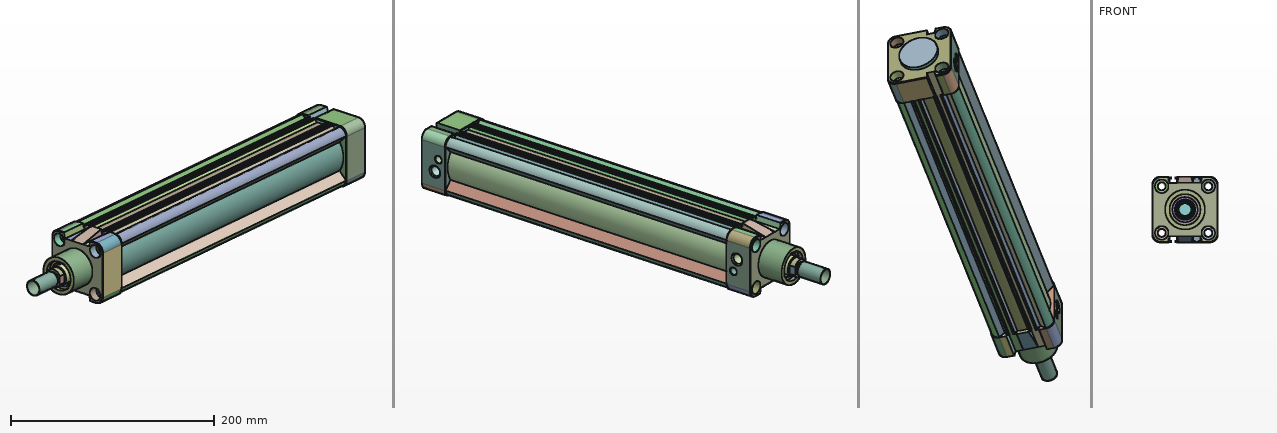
import cadquery as cq
import math

LENGTH = 478.0
WIDTH = 65.0
HALF = WIDTH / 2
CORNER_RADIUS = 8.5
FLAT_END = HALF - CORNER_RADIUS

GLAND_FRONT = 39.0
CAP_FRONT = 68.0
CAP_LENGTH = 29.5
BARREL_START = CAP_FRONT + CAP_LENGTH
REAR_BOSS_LENGTH = 4.0
CAP_REAR = LENGTH - REAR_BOSS_LENGTH
BARREL_END = CAP_REAR - CAP_LENGTH

TUBE_RADIUS = 28.5
BARREL_HALF = 32.0
BARREL_CORNER_RADIUS = 9.5
SIDE_HOLLOW_HALF = 15.5
SIDE_HOLLOW_DEPTH = 8.0
RIB_FOOT_INNER = 5.3
RIB_TOP_INNER = 7.5
RIB_TOP_OUTER = 15.0
VALLEY_X = 18.0
VALLEY_HEIGHT = 27.2

SLOT_X = 11.5
SLOT_NECK_WIDTH = 4.0
SLOT_WIDTH = 7.0
SLOT_FLOOR = 26.5
SLOT_LIP = 30.5

CAP_CHAMFER = 0.7
GROOVE_FLOOR_HALF = 15.5
GROOVE_TOP_HALF = 16.5
RAMP_FOOT_HALF = 7.5
RAMP_TOP_HALF = 6.0
REAR_GROOVE_INNER = 7.5

GLAND_RADIUS = 19.5
RECESS_RADIUS = 15.5
RECESS_DEPTH = 5.0
SEAL_BORE_RADIUS = 12.5
SEAL_BORE_DEPTH = 12.0

BOLT_OFFSET = 23.0
BOLT_RADIUS = 4.0
BOLT_HEAD_RADIUS = 6.5
BOLT_HEAD_DEPTH = 9.5

PORT_RADIUS = 5.3
PORT_CHAMFER = 1.5
PORT_FROM_END = 16.5
PORT_Z = 6.5
SCREW_RADIUS = 4.0
SCREW_CHAMFER = 0.5
SCREW_FROM_BARREL = 8.5
SCREW_Z = 7.5
CUSHION_RADIUS = 13.0
CUSHION_DEPTH = 21.5

ROD_RADIUS = 10.0
ROD_ACROSS_FLATS = 16.5
COLLAR_RADIUS = 9.5
SHOULDER_Y = 38.0
SHOULDER_LENGTH = 1.0
TIP_RADIUS = 8.0
TIP_LENGTH = 28.0
NECK_RADIUS = 6.5
NECK_LENGTH = 3.0
TIP_BORE_MOUTH_RADIUS = 7.5
TIP_BORE_FLOOR_RADIUS = 6.0
TIP_BORE_DEPTH = 24.0
ROD_END = BARREL_START


def section(y):
    """Sketch plane across the cylinder at y: local x is X, local y is Z, negative extrusion is +Y."""
    return cq.Workplane(cq.Plane(origin=(0, y, 0), xDir=(1, 0, 0), normal=(0, -1, 0)))


def cylinder(radius, start, end):
    return section(start).circle(radius).extrude(start - end)


def rounded_bar(start, end):
    bar = section(start).rect(WIDTH, WIDTH).extrude(start - end)
    return bar.edges("|Y").fillet(CORNER_RADIUS)


def block(x0, x1, y0, y1, z0, z1):
    return cq.Workplane("XY").box(x1 - x0, y1 - y0, z1 - z0, centered=False).translate((x0, y0, z0))


def with_mirror(shape, plane):
    return shape.union(shape.mirror(plane))


def side_hollow():
    """Hollow along the -X side, whose floor is the round wall of the tube."""
    valley_x = -BARREL_HALF + SIDE_HOLLOW_DEPTH
    return (
        section(BARREL_START)
        .moveTo(-BARREL_HALF, FLAT_END)
        .lineTo(valley_x, SIDE_HOLLOW_HALF)
        .threePointArc((-TUBE_RADIUS, 0), (valley_x, -SIDE_HOLLOW_HALF))
        .lineTo(-BARREL_HALF, -FLAT_END)
        .close()
        .extrude(BARREL_START - BARREL_END)
    )


def top_hollows():
    """Centre groove and the two outer valleys that leave the ribs standing on the top."""
    depth = BARREL_START - BARREL_END
    foot_height = math.sqrt(TUBE_RADIUS**2 - RIB_FOOT_INNER**2)
    centre = (
        section(BARREL_START)
        .moveTo(-RIB_TOP_INNER, BARREL_HALF)
        .lineTo(-RIB_FOOT_INNER, foot_height)
        .threePointArc((0, TUBE_RADIUS), (RIB_FOOT_INNER, foot_height))
        .lineTo(RIB_TOP_INNER, BARREL_HALF)
        .close()
        .extrude(depth)
    )
    valley = (
        section(BARREL_START)
        .moveTo(RIB_TOP_OUTER, BARREL_HALF)
        .lineTo(VALLEY_X, VALLEY_HEIGHT)
        .lineTo(FLAT_END, BARREL_HALF)
        .close()
        .extrude(depth)
    )
    return centre.union(with_mirror(valley, "YZ"))


def t_slots():
    """The T-slots along both top ribs."""
    half_neck = SLOT_NECK_WIDTH / 2
    half_slot = SLOT_WIDTH / 2
    neck = block(SLOT_X - half_neck, SLOT_X + half_neck, BARREL_START, BARREL_END, SLOT_FLOOR, HALF)
    foot = block(SLOT_X - half_slot, SLOT_X + half_slot, BARREL_START, BARREL_END, SLOT_FLOOR, SLOT_LIP)
    return with_mirror(neck.union(foot), "YZ")


def barrel_blank():
    """Square bar whose corners are arcs a little flatter than the rounding of the caps."""
    corner_inset = BARREL_HALF - FLAT_END
    chord = math.sqrt(2) * corner_inset
    arc_centre_inset = math.sqrt(BARREL_CORNER_RADIUS**2 - (chord / 2) ** 2)
    chord_middle = BARREL_HALF - corner_inset / 2
    bulge = chord_middle + (BARREL_CORNER_RADIUS - arc_centre_inset) / math.sqrt(2)
    return (
        section(BARREL_START)
        .moveTo(-FLAT_END, BARREL_HALF)
        .lineTo(FLAT_END, BARREL_HALF)
        .threePointArc((bulge, bulge), (BARREL_HALF, FLAT_END))
        .lineTo(BARREL_HALF, -FLAT_END)
        .threePointArc((bulge, -bulge), (FLAT_END, -BARREL_HALF))
        .lineTo(-FLAT_END, -BARREL_HALF)
        .threePointArc((-bulge, -bulge), (-BARREL_HALF, -FLAT_END))
        .lineTo(-BARREL_HALF, FLAT_END)
        .threePointArc((-bulge, bulge), (-FLAT_END, BARREL_HALF))
        .close()
        .extrude(BARREL_START - BARREL_END)
    )


def make_barrel():
    top_cuts = top_hollows().union(t_slots())
    return (
        barrel_blank()
        .cut(with_mirror(side_hollow(), "YZ"))
        .cut(with_mirror(top_cuts, "XY"))
    )


def wedge_bar(foot_half, top_half, start, end):
    """Bar on the groove floor with sloping sides, reaching up to the cap's top."""
    return (
        section(start)
        .polyline(
            [(-foot_half, SLOT_FLOOR), (-top_half, HALF), (top_half, HALF), (foot_half, SLOT_FLOOR)]
        )
        .close()
        .extrude(start - end)
    )


def front_groove():
    """Wide groove across the top of the front cap with a ramp rising toward the barrel."""
    groove = wedge_bar(GROOVE_FLOOR_HALF, GROOVE_TOP_HALF, CAP_FRONT, BARREL_START)
    above_ramp = (
        cq.Workplane("YZ")
        .polyline([(CAP_FRONT, SLOT_FLOOR), (CAP_FRONT, HALF), (BARREL_START, HALF)])
        .close()
        .extrude(RAMP_FOOT_HALF, both=True)
    )
    ramp = wedge_bar(RAMP_FOOT_HALF, RAMP_TOP_HALF, CAP_FRONT, BARREL_START).cut(above_ramp)
    return groove.cut(ramp)


def make_front_cap():
    cap = rounded_bar(CAP_FRONT, BARREL_START).faces("<Y").chamfer(CAP_CHAMFER)
    return cap.cut(with_mirror(front_groove(), "XY"))


def rear_groove():
    """Groove beside the centre block of the rear cap, in line with the left rib."""
    groove = wedge_bar(GROOVE_FLOOR_HALF, GROOVE_TOP_HALF, BARREL_END, CAP_REAR)
    centre_block = block(-REAR_GROOVE_INNER, HALF, BARREL_END, CAP_REAR, SLOT_FLOOR, HALF)
    return groove.cut(centre_block)


def make_rear_cap():
    cap = rounded_bar(BARREL_END, CAP_REAR).faces("<Y or >Y").chamfer(CAP_CHAMFER)
    return cap.cut(with_mirror(rear_groove(), "XY"))


def make_gland():
    recess = cylinder(RECESS_RADIUS, GLAND_FRONT, GLAND_FRONT + RECESS_DEPTH)
    seal_bore = cylinder(SEAL_BORE_RADIUS, GLAND_FRONT, GLAND_FRONT + SEAL_BORE_DEPTH)
    return cylinder(GLAND_RADIUS, GLAND_FRONT, CAP_FRONT).cut(recess).cut(seal_bore)


def bolt_holes():
    """Four through holes, counterbored at both ends."""
    hole = cylinder(BOLT_RADIUS, CAP_FRONT, CAP_REAR)
    front_head = cylinder(BOLT_HEAD_RADIUS, CAP_FRONT, CAP_FRONT + BOLT_HEAD_DEPTH)
    rear_head = cylinder(BOLT_HEAD_RADIUS, CAP_REAR - BOLT_HEAD_DEPTH, CAP_REAR)
    corner_hole = hole.union(front_head).union(rear_head).translate((BOLT_OFFSET, 0, BOLT_OFFSET))
    return with_mirror(with_mirror(corner_hole, "YZ"), "XY")


def side_hole(radius, chamfer, y, z):
    """Chamfered hole from the -X side to the middle plane, where it opens into the centre bore."""
    hole = cq.Workplane("YZ", origin=(-HALF, y, z)).circle(radius).extrude(HALF)
    mouth = cq.Solid.makeCone(
        radius + chamfer, radius, chamfer, pnt=cq.Vector(-HALF, y, z), dir=cq.Vector(1, 0, 0)
    )
    return hole.union(cq.Workplane(mouth))


def port(y, z):
    return side_hole(PORT_RADIUS, PORT_CHAMFER, y, z)


def cushion_screw_hole(y, z):
    return side_hole(SCREW_RADIUS, SCREW_CHAMFER, y, z)


def ports_and_screws():
    front_port = port(CAP_FRONT + PORT_FROM_END, PORT_Z)
    front_screw = cushion_screw_hole(BARREL_START - SCREW_FROM_BARREL, -SCREW_Z)
    rear_port = port(CAP_REAR - PORT_FROM_END, -PORT_Z)
    rear_screw = cushion_screw_hole(BARREL_END + SCREW_FROM_BARREL, SCREW_Z)
    return front_port.union(front_screw).union(rear_port).union(rear_screw)


def make_housing():
    return (
        make_barrel()
        .union(make_front_cap())
        .union(make_rear_cap())
        .union(make_gland())
        .union(cylinder(GLAND_RADIUS, CAP_REAR, LENGTH))
        .cut(bolt_holes())
        .cut(ports_and_screws())
        .cut(cylinder(ROD_RADIUS, GLAND_FRONT, ROD_END))
        .cut(cylinder(CUSHION_RADIUS, BARREL_END, BARREL_END + CUSHION_DEPTH))
    )


def tip_bore():
    """Blind bore in the rod tip, narrowing slightly toward its floor."""
    bore = cq.Solid.makeCone(
        TIP_BORE_MOUTH_RADIUS, TIP_BORE_FLOOR_RADIUS, TIP_BORE_DEPTH, dir=cq.Vector(0, 1, 0)
    )
    return cq.Workplane(bore)


def make_rod():
    neck_end = TIP_LENGTH + NECK_LENGTH
    flats = section(neck_end).rect(ROD_ACROSS_FLATS, 2 * ROD_RADIUS).extrude(neck_end - SHOULDER_Y)
    shoulder = cq.Solid.makeCone(
        COLLAR_RADIUS, ROD_RADIUS, SHOULDER_LENGTH, pnt=cq.Vector(0, SHOULDER_Y, 0), dir=cq.Vector(0, 1, 0)
    )
    shaft = cylinder(ROD_RADIUS, SHOULDER_Y + SHOULDER_LENGTH, ROD_END)
    collar = cylinder(COLLAR_RADIUS, neck_end, SHOULDER_Y).intersect(flats)
    return (
        shaft
        .union(cq.Workplane(shoulder))
        .union(collar)
        .union(cylinder(NECK_RADIUS, TIP_LENGTH, neck_end))
        .union(cylinder(TIP_RADIUS, 0, TIP_LENGTH))
        .cut(tip_bore())
    )


housing = make_housing()
rod = make_rod()
result = cq.Compound.makeCompound([housing.val(), rod.val()])